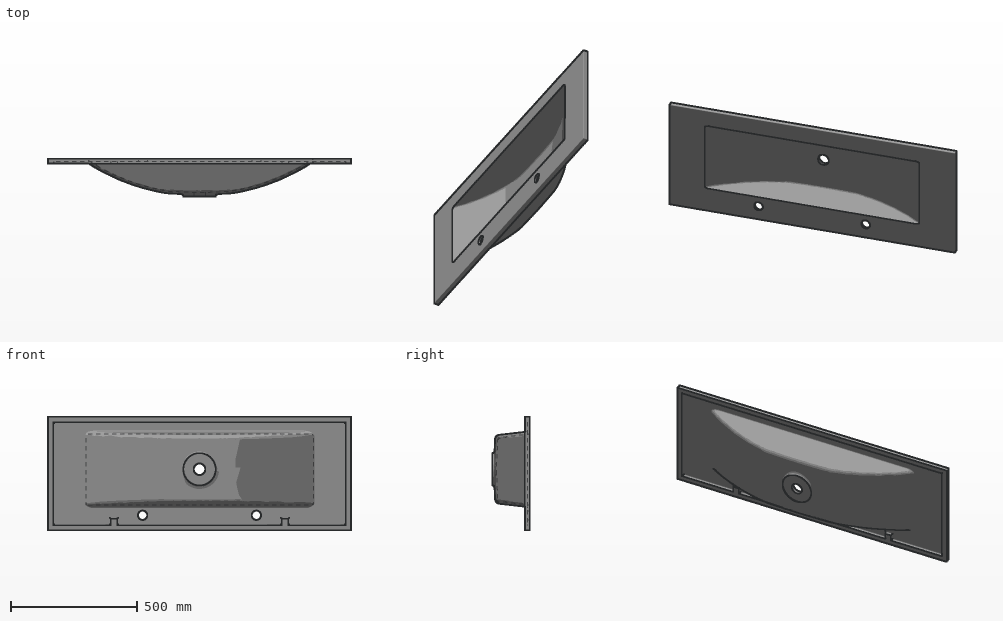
import cadquery as cq
import math

slab_length = 1200.0
slab_height = 450.0
rim_depth = 20.0
corner_radius = 2.5
back_edge_radius = 2.5

rim_width = 21.0
recess_depth = 10.0
recess_floor_radius = 5.0
web_thickness = rim_depth - recess_depth

tab_spacing = 677.0
tab_width = 25.0
tab_height = 25.0

bowl_center_z = 17.0
bowl_arc_radius = 815.0
bowl_arc_depth = 148.0
bowl_root_height = 299.0
wall_draft = math.radians(6.5)
wall_thickness = web_thickness
floor_edge_radius = 19.0

cone_apex_depth = 144.0
cone_slope = 0.046
cone_radius = 600.0
crown_blend_radius = 200.0
crown_edge_limit = 100.0

overall_depth = 150.0
boss_face_radius = 64.0
boss_foot_radius = 78.0
drain_diameter = 45.0
fixing_hole_diameter = 36.0
fixing_hole_spacing = 450.0
fixing_hole_z = -165.0


def centers_between(y_low, y_high, reach_x, reach_z):
    """Selects shapes whose center lies in a box around the Y axis."""
    return cq.selectors.BoxSelector((-reach_x, y_low, -reach_z), (reach_x, y_high, reach_z))


def cylinder_along_y(radius, x, z):
    """Cylinder through the full depth of the part."""
    return cq.Workplane("XZ").center(x, z).circle(radius).extrude(overall_depth)


def block_from_rim(width, height, x=0.0, z=0.0):
    """Rectangular block as deep as the recess, from the rim face inward."""
    return (
        cq.Workplane("XZ", origin=(x, -web_thickness, z))
        .rect(width, height)
        .extrude(recess_depth)
    )


def make_slab():
    """Rectangular slab with rounded edges, and a tabbed recess inside its rim."""
    slab = (
        cq.Workplane("XZ")
        .rect(slab_length, slab_height)
        .extrude(rim_depth)
        .edges("|Y")
        .fillet(corner_radius)
        .faces(">Y")
        .edges()
        .fillet(back_edge_radius)
    )
    opening_height = slab_height - 2 * rim_width
    recess = block_from_rim(slab_length - 2 * rim_width, opening_height)
    for side in (-1, 1):
        tab = block_from_rim(tab_width, 2 * tab_height, side * tab_spacing / 2, -opening_height / 2)
        recess = recess.cut(tab)
    return slab.cut(recess)


def make_bowl(inset):
    """Bowl body shrunk by inset on its floor and walls, standing on y = 0."""
    arc_radius = bowl_arc_radius - inset
    arc_depth = bowl_arc_depth - inset
    half_chord = math.sqrt(arc_radius**2 - (bowl_arc_radius - bowl_arc_depth) ** 2)
    arch = (
        cq.Workplane("XY")
        .moveTo(-half_chord, 0)
        .threePointArc((0, -arc_depth), (half_chord, 0))
        .close()
        .extrude(slab_height / 2, both=True)
    )

    root_half = bowl_root_height / 2 + web_thickness * math.tan(wall_draft) - inset / math.cos(wall_draft)
    end_half = root_half - overall_depth * math.tan(wall_draft)
    walls = (
        cq.Workplane("YZ")
        .polyline([
            (0, -root_half),
            (0, root_half),
            (-overall_depth, end_half),
            (-overall_depth, -end_half),
        ])
        .close()
        .extrude(slab_length / 2, both=True)
    )

    apex = cone_apex_depth - inset
    cone = (
        cq.Workplane("YZ")
        .polyline([(0, 0), (-apex, 0), (cone_slope * cone_radius - apex, cone_radius), (0, cone_radius)])
        .close()
        .revolve(360, (0, 0, 0), (1, 0, 0))
    )

    bowl = arch.intersect(cone).intersect(walls)
    crown_box = centers_between(-overall_depth, -crown_edge_limit, slab_length / 2, end_half / 2)
    crown_edges = bowl.edges(crown_box).edges("not |Z")
    bowl = crown_edges.fillet(crown_blend_radius - inset)
    below_opening = centers_between(-overall_depth, -web_thickness / 2, slab_length, slab_height)
    floor_edges = bowl.faces(">Z or <Z").edges(below_opening)
    bowl = floor_edges.fillet(floor_edge_radius - inset)
    return bowl.translate((0, 0, bowl_center_z))


def make_boss():
    """Flat drain boss whose side flares out to meet the cone."""
    foot_depth = cone_apex_depth - cone_slope * boss_foot_radius
    inner_depth = cone_apex_depth - wall_thickness
    return (
        cq.Workplane("XY")
        .moveTo(0, -inner_depth)
        .lineTo(boss_foot_radius, -inner_depth)
        .lineTo(boss_foot_radius, -foot_depth)
        .spline(
            [(boss_face_radius, -overall_depth)],
            tangents=[(-1, -cone_slope), (0, -1)],
            includeCurrent=True,
        )
        .lineTo(0, -overall_depth)
        .close()
        .revolve(360, (0, 0, 0), (0, 1, 0))
        .translate((0, 0, bowl_center_z))
    )


def round_recess_floor(body):
    """Round every edge of the recess floor: rim, tabs and the root of the bowl."""
    tolerance = recess_floor_radius / 10
    floor_faces = body.faces(
        centers_between(
            -web_thickness - tolerance,
            -web_thickness + tolerance,
            slab_length / 2 - rim_width,
            slab_height / 2 - rim_width,
        )
    )
    return floor_faces.edges().fillet(recess_floor_radius)


body = round_recess_floor(make_slab().union(make_bowl(0.0)))
body = body.cut(make_bowl(wall_thickness))
body = body.union(make_boss())
body = body.cut(cylinder_along_y(drain_diameter / 2, 0, bowl_center_z))
for side in (-1, 1):
    body = body.cut(cylinder_along_y(fixing_hole_diameter / 2, side * fixing_hole_spacing / 2, fixing_hole_z))

result = body